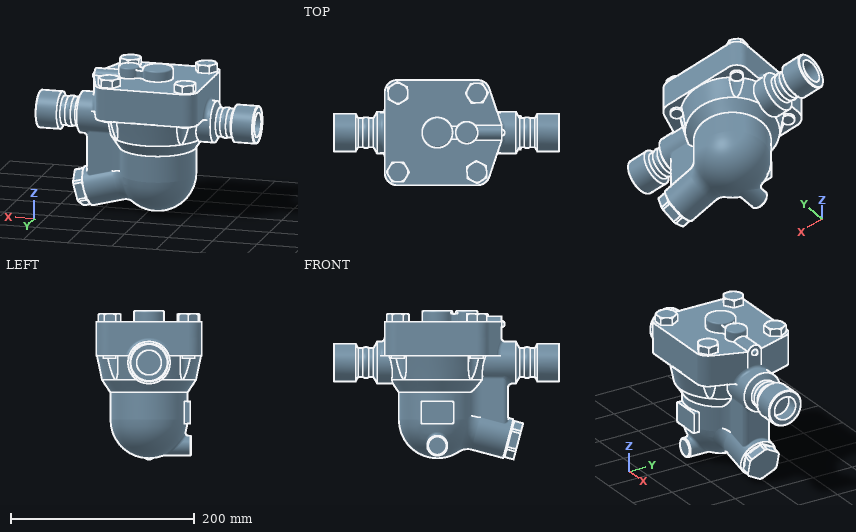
import cadquery as cq
import math

OVERLAP = 1.0
HEX_RATIO = math.cos(math.pi / 6)

TOP_Z = 56.5
BOLT_TOP_Z = 53.3
COVER_TOP_Z = 44.5
JOINT_Z = 27.4
FLANGE_BOTTOM_Z = 7.5
SHOULDER_Z = -18.5
NECK_Z = -32.5
DOME_CENTER_Z = -62.2

SKIRT_TOP_RADIUS = 57.0
SKIRT_BOTTOM_RADIUS = 51.5
BODY_RADIUS = 42.2

FLANGE_WIDTH = 115.0
FLANGE_HALF = FLANGE_WIDTH / 2
FLANGE_TIP_X = 70.0
FLANGE_CORNER_RADIUS = 14.0
TAPER_START_X = 53.6

RIB_RADIUS = 8.6
RIB_AXIS_Z = 42.0
STUD_RADIUS = 3.5
MAIN_BOSS_RADIUS = 16.6
SMALL_BOSS_RADIUS = 12.0
SMALL_BOSS_X = 32.0
BOSS_ROUND = 2.0
WEB_WIDTH = 14.0
WEB_TOP_Z = 53.0
WEB_FILLET = 1.3

BOLT_PITCH = 86.0
BOLT_FLATS = 21.3
BOLT_CORNER_DIAMETER = BOLT_FLATS / HEX_RATIO
BOLT_CHAMFER = 1.2
BOLT_TIP_DIAMETER = 14.0
BOLT_TIP_LENGTH = 3.0
BOLT_FLUTE_RADIUS = 9.2
BOLT_OFFSET = BOLT_PITCH / 2
BOLTS = [
    (-BOLT_OFFSET, BOLT_OFFSET, 92),
    (BOLT_OFFSET, BOLT_OFFSET, 2),
    (-BOLT_OFFSET, -BOLT_OFFSET, 0),
    (BOLT_OFFSET, -BOLT_OFFSET, 93),
]

PIPE_LENGTH = 246.0
PIPE_LEFT_X = -113.0
PIPE_RIGHT_X = PIPE_LEFT_X + PIPE_LENGTH
SOCKET_RADIUS = 41.5 / 2
SOCKET_LENGTH = 24.0
SOCKET_CHAMFER = 0.8
SOCKET_TAPER_LENGTH = 2.6
PIPE_RADIUS = 16.0
BEAD_START = 32.0
BEAD_END = 38.4
BEAD_HEIGHT = 1.0
HUB_START = 43.4
HUB_TAPER_LENGTH = 4.1
HUB_RADIUS = 23.0
HUB_FILLET = 4.0
BORE_DIAMETER = 27.0
BORE_DEPTH = 14.0

LEG_RIGHT_X = 77.0
LEG_HALF_WIDTH = 16.7
LEG_CORNER_RADIUS = 5.5
LEG_TOP_Z = -10.0
LEG_BOTTOM_Z = -70.0
LEG_HUB_FILLET = 5.0
LEG_CLEANOUT_FILLET = 1.5
LEG_BODY_FILLET = 15.7

CLEANOUT_TILT = 15.0
CLEANOUT_RADIUS = 22.0
CLEANOUT_LENGTH = 80.0
CLEANOUT_FILLET = 17.0
GASKET_RADIUS = 18.0
CAP_START = 81.4
CAP_END = 91.5
CAP_FLATS = 37.0
CAP_RADIUS = 20.5

DRAIN_RADIUS = 11.0
DRAIN_Z = -90.5
DRAIN_FACE_Y = -46.3
DRAIN_CHAMFER = 1.2
DRAIN_FILLET = 3.0

PAD_WIDTH = 35.5
PAD_HEIGHT = 24.5
PAD_CENTER_Z = -54.4
PAD_FACE_Y = -45.0
PAD_ROUND = 1.8


def cylinder(radius, bottom_z, top_z):
    """Vertical cylinder between two heights."""
    return cq.Workplane("XY", origin=(0, 0, bottom_z)).circle(radius).extrude(top_z - bottom_z)


def flange_plate(bottom_z, top_z):
    """Square plate whose right side tapers to a narrow tip."""
    outline = [
        (-FLANGE_HALF, -FLANGE_HALF),
        (TAPER_START_X, -FLANGE_HALF),
        (FLANGE_TIP_X, -RIB_RADIUS),
        (FLANGE_TIP_X, RIB_RADIUS),
        (TAPER_START_X, FLANGE_HALF),
        (-FLANGE_HALF, FLANGE_HALF),
    ]
    sketch = cq.Workplane("XY", origin=(0, 0, bottom_z)).polyline(outline).close()
    plate = sketch.extrude(top_z - bottom_z)
    outer_corners = cq.selectors.BoxSelector(
        (-FLANGE_WIDTH, -FLANGE_WIDTH, bottom_z), (TAPER_START_X + OVERLAP, FLANGE_WIDTH, top_z))
    return plate.edges("|Z").edges(outer_corners).fillet(FLANGE_CORNER_RADIUS)


def hubs():
    """Thick pipe hubs on both sides, running through under the flange."""
    left = PIPE_LEFT_X + HUB_START + HUB_TAPER_LENGTH
    right = PIPE_RIGHT_X - HUB_START - HUB_TAPER_LENGTH
    return cq.Workplane("YZ", origin=(left, 0, 0)).circle(HUB_RADIUS).extrude(right - left)


def flange_with_hubs():
    """Lower flange joined to the hubs with a fillet where they leave the flange."""
    joined = flange_plate(FLANGE_BOTTOM_Z, JOINT_Z).union(hubs())
    left_side = (-FLANGE_HALF - OVERLAP, -FLANGE_HALF + OVERLAP)
    right_side = (BODY_RADIUS, FLANGE_TIP_X + OVERLAP)
    for low, high in (left_side, right_side):
        seam = cq.selectors.BoxSelector(
            (low, -HUB_RADIUS, FLANGE_BOTTOM_Z + OVERLAP),
            (high, HUB_RADIUS, HUB_RADIUS + OVERLAP))
        joined = joined.edges(seam).fillet(HUB_FILLET)
    return joined


def pipe_end():
    """Socket, neck with bead and hub taper; the open face is at X = 0, the pipe runs to +X."""
    neck_start = SOCKET_LENGTH + SOCKET_TAPER_LENGTH
    hub_full = HUB_START + HUB_TAPER_LENGTH
    profile = (
        cq.Workplane("XY")
        .moveTo(0, 0)
        .lineTo(0, SOCKET_RADIUS - SOCKET_CHAMFER)
        .lineTo(SOCKET_CHAMFER, SOCKET_RADIUS)
        .lineTo(SOCKET_LENGTH, SOCKET_RADIUS)
        .lineTo(neck_start, PIPE_RADIUS)
        .lineTo(BEAD_START, PIPE_RADIUS)
        .threePointArc(((BEAD_START + BEAD_END) / 2, PIPE_RADIUS + BEAD_HEIGHT), (BEAD_END, PIPE_RADIUS))
        .lineTo(HUB_START, PIPE_RADIUS)
        .lineTo(hub_full, HUB_RADIUS)
        .lineTo(hub_full, 0)
        .close()
    )
    bore = cq.Workplane("YZ").circle(BORE_DIAMETER / 2).extrude(BORE_DEPTH)
    return profile.revolve(360, (0, 0, 0), (1, 0, 0)).cut(bore)


def body():
    """Skirt, neck cone, barrel and hemispherical bottom."""
    profile = (
        cq.Workplane("XZ")
        .moveTo(0, FLANGE_BOTTOM_Z)
        .lineTo(SKIRT_TOP_RADIUS, FLANGE_BOTTOM_Z)
        .lineTo(SKIRT_BOTTOM_RADIUS, SHOULDER_Z)
        .lineTo(BODY_RADIUS, NECK_Z)
        .lineTo(BODY_RADIUS, DOME_CENTER_Z)
        .radiusArc((0, DOME_CENTER_Z - BODY_RADIUS), BODY_RADIUS)
        .close()
    )
    return profile.revolve(360, (0, 0, 0), (0, 1, 0))


def drain_boss():
    """Horizontal cylinder leaving the dome toward -Y."""
    return (
        cq.Workplane("XZ", origin=(0, 0, DRAIN_Z))
        .circle(DRAIN_RADIUS)
        .extrude(-DRAIN_FACE_Y)
        .faces("<Y")
        .chamfer(DRAIN_CHAMFER)
    )


def body_with_drain():
    joined = body().union(drain_boss())
    seam = cq.selectors.BoxSelector(
        (-2 * DRAIN_RADIUS, DRAIN_FACE_Y + 2 * DRAIN_CHAMFER, DRAIN_Z - 2 * DRAIN_RADIUS),
        (2 * DRAIN_RADIUS, -OVERLAP, DRAIN_Z + 2 * DRAIN_RADIUS))
    return joined.edges(seam).fillet(DRAIN_FILLET)


def cleanout_plane():
    """Plane at the dome centre whose normal is the cleanout axis."""
    tilt = math.radians(CLEANOUT_TILT)
    return cq.Plane(
        origin=(0, 0, DOME_CENTER_Z), xDir=(0, 1, 0), normal=(math.cos(tilt), 0, -math.sin(tilt)))


def cleanout_boss():
    return cq.Workplane(cleanout_plane()).circle(CLEANOUT_RADIUS).extrude(CLEANOUT_LENGTH)


def cleanout_collar():
    """Concave fillet of revolution between the dome and the cleanout boss."""
    center_radial = CLEANOUT_RADIUS + CLEANOUT_FILLET
    center_distance = BODY_RADIUS + CLEANOUT_FILLET
    center_axial = math.sqrt(center_distance**2 - center_radial**2)
    on_dome = BODY_RADIUS / center_distance
    tilt = math.radians(CLEANOUT_TILT)
    plane = cq.Plane(
        origin=(0, 0, DOME_CENTER_Z), xDir=(math.cos(tilt), 0, -math.sin(tilt)), normal=(0, -1, 0))
    profile = (
        cq.Workplane(plane)
        .moveTo(0, 0)
        .lineTo(center_axial * on_dome, center_radial * on_dome)
        .radiusArc((center_axial, CLEANOUT_RADIUS), -CLEANOUT_FILLET)
        .lineTo(center_axial, 0)
        .close()
    )
    return profile.revolve(360, (0, 0, 0), (1, 0, 0))


def cleanout_cap():
    """Gasket and hexagonal plug with turned-down corners."""
    gasket = cq.Workplane(cleanout_plane()).circle(GASKET_RADIUS).extrude(CAP_START + OVERLAP)
    seat = cq.Workplane(cleanout_plane()).workplane(offset=CAP_START)
    thickness = CAP_END - CAP_START
    corner_up = seat.transformed(rotate=(0, 0, 30))
    hexagon = corner_up.polygon(6, CAP_FLATS / HEX_RATIO).extrude(thickness)
    return gasket.union(hexagon.intersect(seat.circle(CAP_RADIUS).extrude(thickness)))


def leg():
    """Upright block below the outlet hub with rounded outer corners."""
    return (
        cq.Workplane("XY", origin=(LEG_RIGHT_X / 2, 0, LEG_BOTTOM_Z))
        .rect(LEG_RIGHT_X, 2 * LEG_HALF_WIDTH)
        .extrude(LEG_TOP_Z - LEG_BOTTOM_Z)
        .edges("|Z and >X")
        .fillet(LEG_CORNER_RADIUS)
    )


def leg_seam(bottom_z, top_z):
    """Selects the edges where the leg runs into its neighbours."""
    half_width = LEG_HALF_WIDTH + OVERLAP
    return cq.selectors.BoxSelector(
        (OVERLAP, -half_width, bottom_z), (LEG_RIGHT_X + OVERLAP, half_width, top_z))


def leg_assembly():
    """Hubs, leg and cleanout boss, filleted to each other."""
    joined = leg().union(hubs())
    hub_seam = leg_seam(-HUB_RADIUS - OVERLAP, LEG_TOP_Z - OVERLAP)
    joined = joined.edges(hub_seam).edges("not |Z").fillet(LEG_HUB_FILLET)
    joined = joined.union(cleanout_boss())
    cleanout_seam = leg_seam(-CLEANOUT_LENGTH, DOME_CENTER_Z + CLEANOUT_RADIUS)
    return joined.edges(cleanout_seam).edges("not |Z").fillet(LEG_CLEANOUT_FILLET)


def leg_gusset():
    """Prism with concave sides that blends the leg into the round body."""
    center_y = LEG_HALF_WIDTH + LEG_BODY_FILLET
    center_distance = BODY_RADIUS + LEG_BODY_FILLET
    center_x = math.sqrt(center_distance**2 - center_y**2)
    on_body = BODY_RADIUS / center_distance
    touch_x = center_x * on_body
    touch_y = center_y * on_body
    return (
        cq.Workplane("XY", origin=(0, 0, LEG_BOTTOM_Z))
        .moveTo(touch_x, -touch_y)
        .radiusArc((center_x, -LEG_HALF_WIDTH), LEG_BODY_FILLET)
        .lineTo(center_x, LEG_HALF_WIDTH)
        .radiusArc((touch_x, touch_y), LEG_BODY_FILLET)
        .close()
        .extrude(LEG_TOP_Z - LEG_BOTTOM_Z)
    )


def cover_boss(radius, x):
    """Round boss through the cover with a rounded top edge."""
    boss = cylinder(radius, JOINT_Z, TOP_Z).faces(">Z").edges().fillet(BOSS_ROUND)
    return boss.translate((x, 0, 0))


def cover():
    """Cover plate with its bosses, round rib and stud."""
    plate = flange_plate(JOINT_Z, COVER_TOP_Z)
    main_boss = cover_boss(MAIN_BOSS_RADIUS, 0).rotate((0, 0, 0), (0, 0, 1), 180)
    small_boss = cover_boss(SMALL_BOSS_RADIUS, SMALL_BOSS_X)
    web = (
        cq.Workplane("XY", origin=(SMALL_BOSS_X / 2, 0, JOINT_Z))
        .rect(SMALL_BOSS_X, WEB_WIDTH)
        .extrude(WEB_TOP_Z - JOINT_Z)
    )
    bosses = main_boss.union(small_boss).union(web)
    web_seams = cq.selectors.BoxSelector(
        (MAIN_BOSS_RADIUS - 2 * BOSS_ROUND, -WEB_WIDTH, JOINT_Z),
        (SMALL_BOSS_X - SMALL_BOSS_RADIUS + 2 * BOSS_ROUND, WEB_WIDTH, WEB_TOP_Z + WEB_FILLET))
    bosses = bosses.edges(web_seams).edges("not |X").fillet(WEB_FILLET)
    rib_start = cq.Workplane("YZ", origin=(SMALL_BOSS_X, 0, RIB_AXIS_Z))
    rib = rib_start.circle(RIB_RADIUS).extrude(FLANGE_TIP_X - SMALL_BOSS_X)
    stud = cq.Workplane("XY").sphere(STUD_RADIUS).translate((FLANGE_TIP_X, 0, RIB_AXIS_Z))
    return plate.union(bosses).union(rib).union(stud)


def bolt_head(x, y, corner_angle):
    """Hexagon head with a chamfered top."""
    height = BOLT_TOP_Z - COVER_TOP_Z + OVERLAP
    hexagon = cq.Workplane("XY").polygon(6, BOLT_CORNER_DIAMETER).extrude(height)
    turned = cylinder(BOLT_CORNER_DIAMETER / 2, 0, height).faces(">Z").chamfer(BOLT_CHAMFER)
    head = hexagon.intersect(turned).rotate((0, 0, 0), (0, 0, 1), corner_angle)
    return head.translate((x, y, COVER_TOP_Z - OVERLAP))


def name_pad():
    """Flat rectangular pad on the -Y side of the body."""
    return (
        cq.Workplane("XZ", origin=(0, 0, PAD_CENTER_Z))
        .rect(PAD_WIDTH, PAD_HEIGHT)
        .extrude(-PAD_FACE_Y)
        .edges("|Y")
        .fillet(PAD_ROUND)
    )


result = body_with_drain()
for x, y, _ in BOLTS:
    flute = cylinder(BOLT_FLUTE_RADIUS, NECK_Z, FLANGE_BOTTOM_Z).translate((x, y, 0))
    result = result.cut(flute)

lower_parts = [name_pad, cleanout_collar, leg_assembly, leg_gusset, cleanout_cap, flange_with_hubs]
for build_part in lower_parts:
    result = result.union(build_part())

result = result.union(cover(), clean=False)
for x, y, corner_angle in BOLTS:
    tip = cylinder(BOLT_TIP_DIAMETER / 2, FLANGE_BOTTOM_Z - BOLT_TIP_LENGTH, JOINT_Z - OVERLAP)
    result = result.union(bolt_head(x, y, corner_angle), clean=False)
    result = result.union(tip.translate((x, y, 0)), clean=False)

inlet = pipe_end().translate((PIPE_LEFT_X, 0, 0))
outlet = pipe_end().rotate((0, 0, 0), (0, 0, 1), 180).translate((PIPE_RIGHT_X, 0, 0))
result = result.union(inlet, clean=False).union(outlet, clean=False)